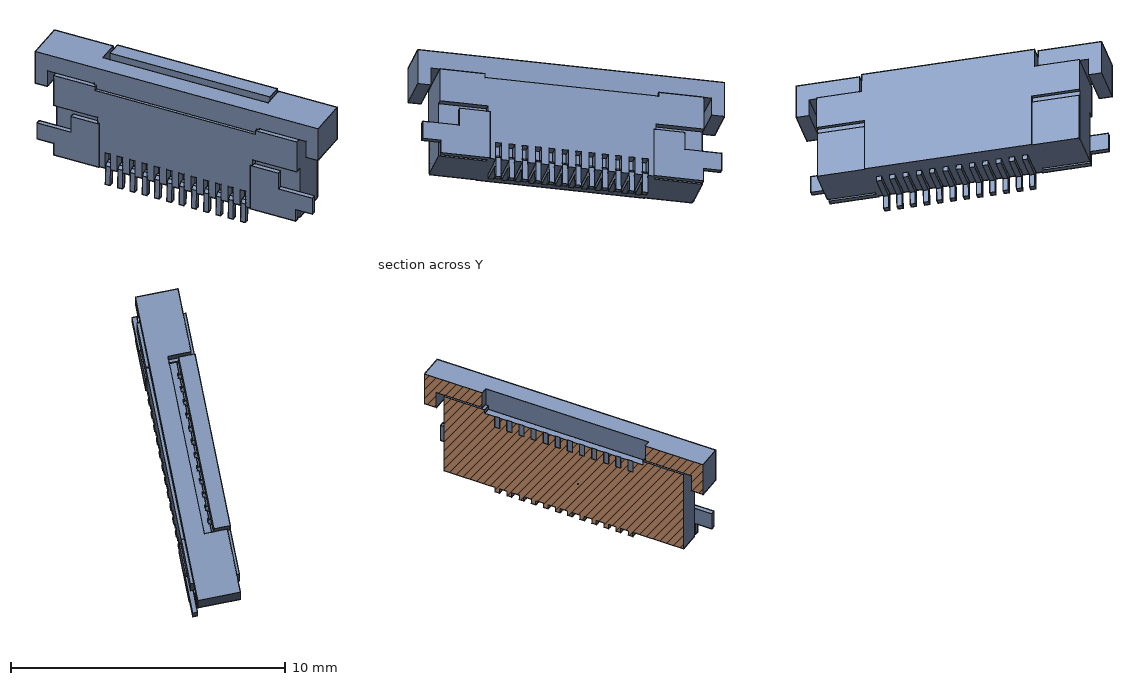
import cadquery as cq
import math


total_width = 11.5
total_depth = 1.87
total_height = 4.9

body_width = 9.89
body_front = 0.05
body_bottom = 0.7
shoulder_top = 4.15
middle_width = 6.51
middle_top = 3.99
tongue_front = 1.26

cover_front = 0.16
cover_back = 1.75
cover_bottom = 4.2
leg_bottom = 3.51
leg_width = 0.5
notch_width = 6.72
notch_front = 0.89

slit_front = 1.2
slit_depth = 0.23
slit_slope = 20.0

recess_top = 2.84
recess_inner = 3.15
front_recess_floor = 0.29
back_recess_floor = 1.75
tab_thickness = 0.18
tab_inner = 3.07
tab_outer = 4.92
tab_top = 2.6
tab_step = 4.22
arm_end = 5.6
arm_bottom = 1.21
arm_top = 1.91
plate_back = 1.84

contact_count = 12
row_span = 5.5
pitch = row_span / (contact_count - 1)
contact_width = 0.2
slot_width = 0.22
slot_top = 1.38
slot_depth = 0.35
foot_front = 0.05
foot_thickness = 0.2
foot_lean = 2.5
foot_top = 0.79
bend_height = 0.12
contact_back = 1.28
contact_arm_bottom = 0.51
contact_groove_front = 1.14
contact_groove_slope = 65.0


def block(x_range, y_range, z_range):
    """Box between the given pairs of limits."""
    lows, highs = zip(x_range, y_range, z_range)
    sizes = [high - low for low, high in zip(lows, highs)]
    return cq.Workplane("XY").box(*sizes, centered=False).translate(lows)


def centred_block(width, y_range, z_range):
    """Box symmetric about X = 0."""
    return block((-width / 2, width / 2), y_range, z_range)


def profile_bar(points, width, x_centre=0.0):
    """Outline in (Y, Z) extruded along X about x_centre."""
    bar = cq.Workplane("YZ").polyline(points).close().extrude(width / 2, both=True)
    return bar.translate((x_centre, 0, 0))


def with_mirror(shape):
    """A shape on the +X side joined with its copy on the -X side."""
    return shape.union(shape.mirror("YZ"))


def make_housing():
    y_range = (body_front, total_depth)
    body = centred_block(body_width, y_range, (body_bottom, shoulder_top))
    body = body.cut(centred_block(middle_width, y_range, (middle_top, shoulder_top)))
    body = body.union(centred_block(middle_width, (tongue_front, total_depth), (middle_top, total_height)))
    side = (recess_inner, body_width / 2)
    heights = (body_bottom, recess_top)
    front_recess = block(side, (body_front, front_recess_floor), heights)
    back_recess = block(side, (back_recess_floor, total_depth), heights)
    return body.cut(with_mirror(front_recess)).cut(with_mirror(back_recess))


def make_cover():
    y_range = (cover_front, cover_back)
    cover = centred_block(total_width, y_range, (cover_bottom, total_height))
    leg = block((total_width / 2 - leg_width, total_width / 2), y_range, (leg_bottom, total_height))
    cover = cover.union(with_mirror(leg))
    cover = cover.cut(centred_block(notch_width, (notch_front, cover_back), (cover_bottom, total_height)))
    bar_depth = (cover_front, notch_front)
    cover = cover.union(centred_block(notch_width, bar_depth, (shoulder_top, cover_bottom)))
    return cover.union(centred_block(middle_width, bar_depth, (middle_top, shoulder_top)))


def make_solder_tab():
    outline = [
        (tab_inner, body_bottom),
        (tab_outer, body_bottom),
        (tab_outer, arm_bottom),
        (arm_end, arm_bottom),
        (arm_end, arm_top),
        (tab_step, arm_top),
        (tab_step, tab_top),
        (tab_inner, tab_top),
    ]
    return cq.Workplane("XZ").polyline(outline).close().extrude(-tab_thickness)


def make_back_plate():
    return block((recess_inner, tab_outer), (back_recess_floor, plate_back), (body_bottom, tab_top))


def sloped_groove(front, slope, width, x_centre=0.0):
    """Groove in the middle of the housing, with a floor that rises towards the tongue."""
    back_floor = middle_top - slit_depth
    front_floor = back_floor - (tongue_front - front) * math.tan(math.radians(slope))
    outline = [
        (front, middle_top),
        (front, front_floor),
        (tongue_front, back_floor),
        (tongue_front, middle_top),
    ]
    return profile_bar(outline, width, x_centre)


def make_contact(x_centre):
    """Leaning foot with a bevelled top and an arm running back under the housing."""
    lean = math.tan(math.radians(foot_lean))
    foot_back = foot_front + foot_thickness
    arm_top_z = foot_top + bend_height
    bend_front = foot_front + foot_top * lean
    outline = [
        (foot_front, 0),
        (foot_back, 0),
        (foot_back + contact_arm_bottom * lean, contact_arm_bottom),
        (contact_back, contact_arm_bottom),
        (contact_back, arm_top_z),
        (bend_front + bend_height, arm_top_z),
        (bend_front, foot_top),
    ]
    return profile_bar(outline, contact_width, x_centre)


def contact_positions():
    return [index * pitch - row_span / 2 for index in range(contact_count)]


result = make_housing().cut(sloped_groove(slit_front, slit_slope, middle_width))
for x in contact_positions():
    slot_sides = (x - slot_width / 2, x + slot_width / 2)
    foot_slot = block(slot_sides, (body_front, body_front + slot_depth), (body_bottom, slot_top))
    groove = sloped_groove(contact_groove_front, contact_groove_slope, contact_width, x)
    result = result.cut(foot_slot).cut(groove).union(make_contact(x))

result = result.union(make_cover())
result = result.union(with_mirror(make_solder_tab()))
result = result.union(with_mirror(make_back_plate()))